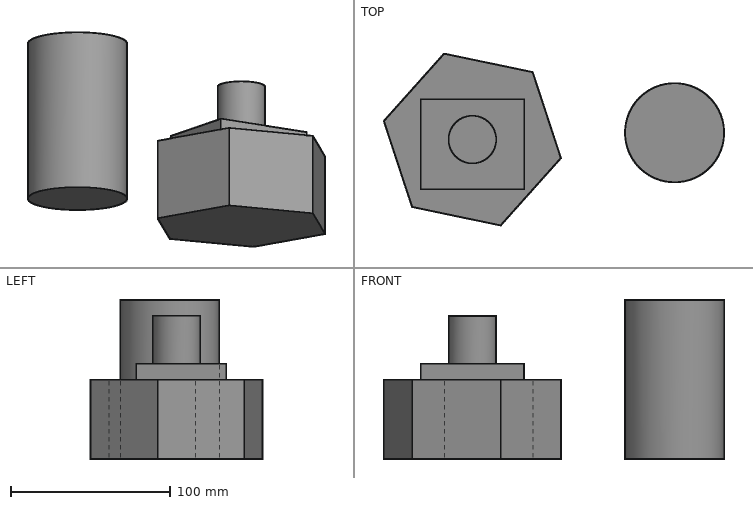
import cadquery as cq
import math

hex_radius = 56.9
hex_turn = -11.8
hex_height = 50.0
hex_sides = 6

plate_length = 65.0
plate_width = 56.7
plate_thickness = 10.0
plate_offset_y = -3.0
stud_diameter = 30.0
stud_height = 30.0

cylinder_diameter = 62.5
cylinder_height = 2 * hex_height
cylinder_x = 127.0
cylinder_y = 4.3


def make_hex_base():
    """Regular hexagonal prism turned about its axis."""
    corners = []
    for index in range(hex_sides):
        angle = math.radians(hex_turn + index * 360 / hex_sides)
        corners.append((hex_radius * math.cos(angle), hex_radius * math.sin(angle)))
    return cq.Workplane("XY").polyline(corners).close().extrude(hex_height)


def make_studded_plate():
    """Plate resting on the base, with a stud on the base axis."""
    plate = (
        cq.Workplane("XY", origin=(0, plate_offset_y, hex_height))
        .rect(plate_length, plate_width)
        .extrude(plate_thickness)
    )
    stud = (
        cq.Workplane("XY", origin=(0, 0, hex_height + plate_thickness))
        .circle(stud_diameter / 2)
        .extrude(stud_height)
    )
    return plate.union(stud)


def make_cylinder():
    """Plain cylinder standing beside the base on the same floor."""
    return (
        cq.Workplane("XY", origin=(cylinder_x, cylinder_y, 0))
        .circle(cylinder_diameter / 2)
        .extrude(cylinder_height)
    )


hex_base = make_hex_base()
studded_plate = make_studded_plate()
cylinder = make_cylinder()

result = cq.Compound.makeCompound([hex_base.val(), studded_plate.val(), cylinder.val()])